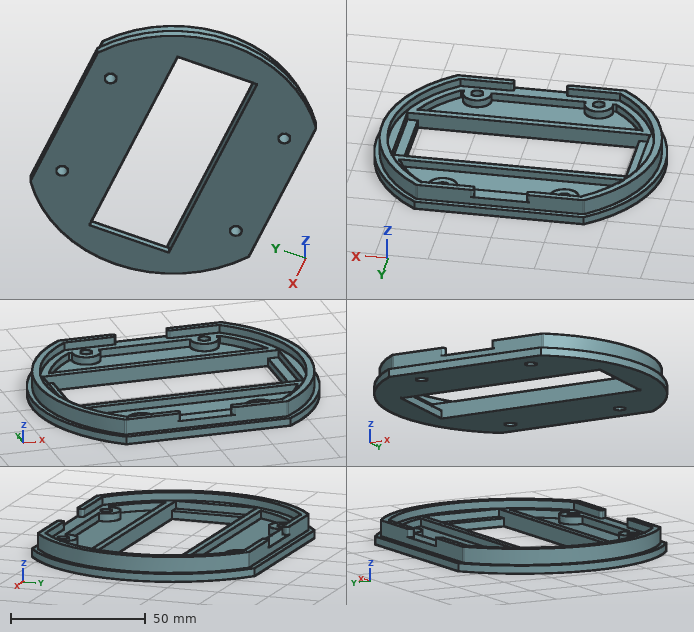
import cadquery as cq

flange_top = 3.0
shelf_top = 6.0
wall_top = 9.0

flange_radius = 54.3
flange_half_width = 44.0
wall_outer_radius = 52.3
wall_outer_half_width = 41.8
wall_inner_radius = 49.4
wall_inner_half_width = 39.2
wall_edge_radius = 1.0

gap_width = 20.0

recess_floor = 3.0
recess_radius = 46.4
recess_inner_y = 18.9
recess_outer_y = 36.0

window_length = 83.4
window_width = 31.9
ledge_length = 91.4
ledge_top = 3.0

boss_x = 22.9
boss_y = 35.0
boss_radius = 5.3
screw_hole_radius = 2.2


def flatted_disc(radius, half_width, bottom, top):
    """Disc trimmed by flats at Y = +/- half_width."""
    height = top - bottom
    disc = cq.Workplane("XY").workplane(offset=bottom).circle(radius).extrude(height)
    return disc.intersect(centred_box(2 * radius, 2 * half_width, bottom, top))


def centred_box(length, width, bottom, top):
    """Box centred on the Z axis between two heights."""
    return cq.Workplane("XY").workplane(offset=bottom).rect(length, width).extrude(top - bottom)


def edges_within(half_length):
    """Selector for edges closer to the YZ plane than half_length."""
    return cq.selectors.BoxSelector(
        (-half_length, -flange_half_width, 0),
        (half_length, flange_half_width, wall_top),
    )


def walled_plate():
    """Flange carrying a smaller shelf and a perimeter wall open in the middle of both flats."""
    flange = flatted_disc(flange_radius, flange_half_width, 0, flange_top)
    upper = flatted_disc(wall_outer_radius, wall_outer_half_width, flange_top, wall_top)
    corners = edges_within(wall_outer_half_width)
    upper = upper.edges("|Z").edges(corners).fillet(wall_edge_radius)
    inside = flatted_disc(wall_inner_radius, wall_inner_half_width, shelf_top, wall_top)
    gap = centred_box(gap_width, 2 * flange_half_width, shelf_top, wall_top)
    wall_ends = edges_within(gap_width)
    upper = upper.cut(inside).cut(gap).edges("|Z").edges(wall_ends).fillet(wall_edge_radius)
    return flange.union(upper)


def recesses():
    """Two arc-ended pockets, leaving the screw bosses standing."""
    pockets = flatted_disc(recess_radius, recess_outer_y, recess_floor, shelf_top)
    pockets = pockets.cut(
        centred_box(2 * recess_radius, 2 * recess_inner_y, recess_floor, shelf_top)
    )
    bosses = (
        cq.Workplane("XY")
        .workplane(offset=recess_floor)
        .rect(2 * boss_x, 2 * boss_y, forConstruction=True)
        .vertices()
        .circle(boss_radius)
        .extrude(shelf_top - recess_floor)
    )
    return pockets.cut(bosses)


screw_holes = (
    cq.Workplane("XY")
    .rect(2 * boss_x, 2 * boss_y, forConstruction=True)
    .vertices()
    .circle(screw_hole_radius)
    .extrude(shelf_top)
)

result = (
    walled_plate()
    .cut(recesses())
    .cut(centred_box(window_length, window_width, 0, shelf_top))
    .cut(centred_box(ledge_length, window_width, ledge_top, shelf_top))
    .cut(screw_holes)
)